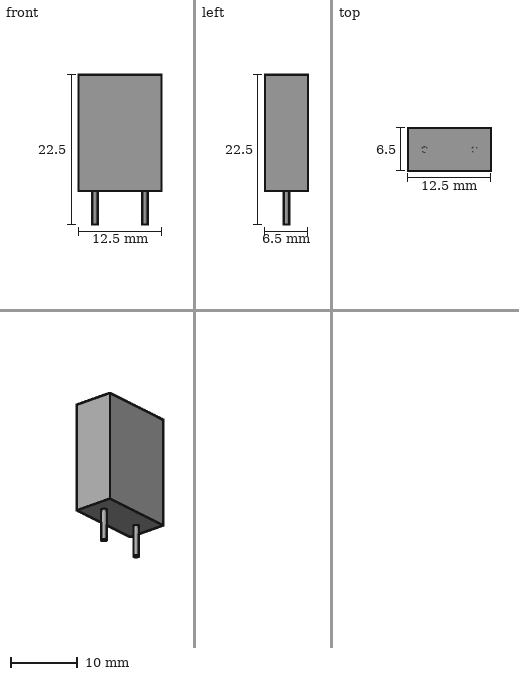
import cadquery as cq

total_height = 22.5
body_width = 12.5
body_depth = 6.5
lead_length = 5.0
lead_diameter = 0.85
lead_pitch = 7.5

body_height = total_height - lead_length


def make_body():
    """Rectangular block standing on the plane Z = 0."""
    return cq.Workplane("XY").box(body_width, body_depth, body_height, centered=(True, True, False))


def make_lead(x):
    """Round lead hanging from the underside of the body."""
    return cq.Workplane("XY").center(x, 0).circle(lead_diameter / 2).extrude(-lead_length)


body = make_body()
leads = [make_lead(side * lead_pitch / 2) for side in (-1, 1)]

result = cq.Compound.makeCompound([body.val(), *[lead.val() for lead in leads]])